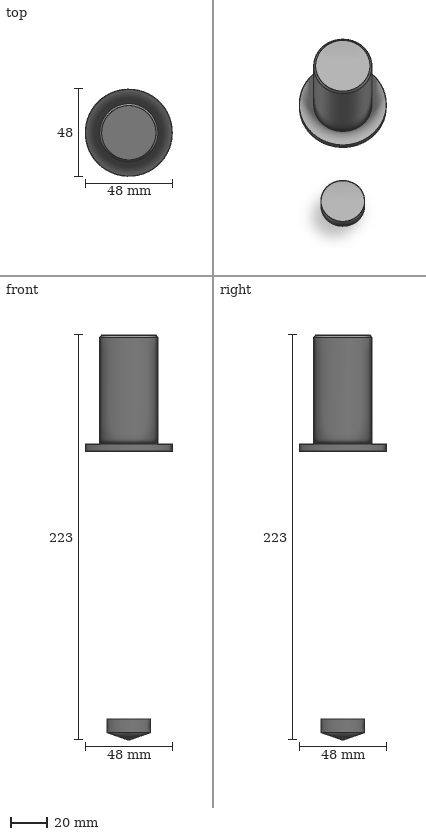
import cadquery as cq

total_height = 223.0

flange_diameter = 48.0
flange_thickness = 4.0
stem_diameter = 32.0
pin_height = 64.0
stem_chamfer = 1.1
pin_base_z = total_height - pin_height

disc_diameter = 24.0
rim_height = 7.5
cone_height = 4.2


def make_flanged_pin():
    """Round stem with a chamfered top edge, standing on a thin flange."""
    flange = cq.Workplane("XY").workplane(offset=pin_base_z).circle(flange_diameter / 2).extrude(flange_thickness)
    stem = (
        cq.Workplane("XY")
        .workplane(offset=pin_base_z)
        .circle(stem_diameter / 2)
        .extrude(pin_height)
        .faces(">Z")
        .chamfer(stem_chamfer)
    )
    return flange.union(stem)


def make_pointed_disc():
    """Short cylinder ending in a shallow cone that points down."""
    radius = disc_diameter / 2
    disc_top_z = cone_height + rim_height
    return (
        cq.Workplane("XZ")
        .moveTo(0, 0)
        .lineTo(radius, cone_height)
        .lineTo(radius, disc_top_z)
        .lineTo(0, disc_top_z)
        .close()
        .revolve(360, (0, 0, 0), (0, 1, 0))
    )


flanged_pin = make_flanged_pin()
pointed_disc = make_pointed_disc()

result = cq.Compound.makeCompound([flanged_pin.val(), pointed_disc.val()])